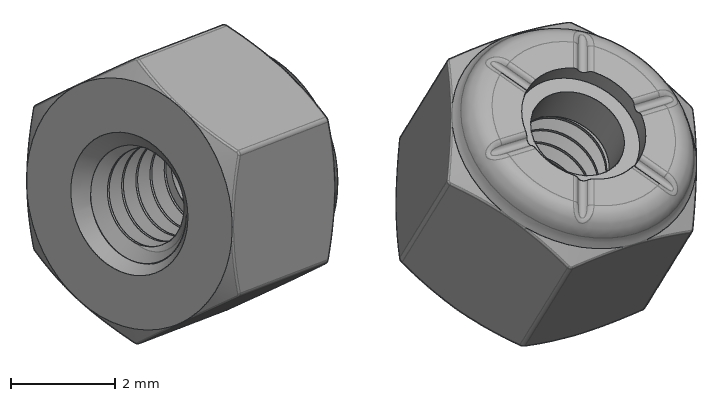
import cadquery as cq
import math


across_flats = 5.0
across_rounded_corners = 5.74
across_sharp_corners = across_flats / math.cos(math.radians(30))
corner_drop = (across_sharp_corners - across_rounded_corners) / 2
corner_radius = corner_drop / (1 / math.cos(math.radians(30)) - 1)
hex_length = 3.245
chamfer_angle = 30.0
chamfer_circle_radius = 2.49
chamfer_edge_radius = 0.05
envelope_margin = 0.06

total_length = 3.8
dome_base_y = 3.44
dome_base_radius = 2.375
end_face_radius = 1.865

pitch = 0.45
major_radius = 1.25
minor_radius = 0.96
flank_angle = 30.0
crest_width = pitch / 8
thread_phase_y = 0.14
groove_overlap = 0.025
countersink_radius = 1.42

ring_start_y = 2.555
ring_end_y = dome_base_y
ring_outer_radius = 1.95
ring_bore_radius = 0.95
lip_opening_radius = 1.26

notch_count = 6
notch_radius = 0.115
notch_depth = 0.105
notch_edge_radius = 0.145


def cylinder(radius, start_y, end_y):
    return cq.Workplane("XZ", origin=(0, start_y, 0)).circle(radius).extrude(start_y - end_y)


def revolve_about_y(profile):
    return profile.close().revolve(360, (0, 0), (0, 1))


def hexagon():
    """Hexagonal prism with corners on the Z axis, both ends chamfered by cones with rounded edges."""
    prism = (
        cq.Workplane("XZ")
        .polygon(6, across_sharp_corners)
        .extrude(-hex_length)
        .rotate((0, 0, 0), (0, 1, 0), 30)
        .edges("|Y")
        .fillet(corner_radius)
    )
    rim_radius = across_sharp_corners / 2 + envelope_margin
    chamfer_length = (rim_radius - chamfer_circle_radius) * math.tan(math.radians(chamfer_angle))
    envelope = revolve_about_y(
        cq.Workplane("XY").polyline([
            (0, 0),
            (chamfer_circle_radius, 0),
            (rim_radius, chamfer_length),
            (rim_radius, hex_length - chamfer_length),
            (chamfer_circle_radius, hex_length),
            (0, hex_length),
        ])
    )
    blank = prism.intersect(envelope)
    chamfer_edges = [edge for edge in blank.edges().vals() if edge.geomType() not in ("LINE", "CIRCLE")]
    return blank.newObject(chamfer_edges).fillet(chamfer_edge_radius)


def collar():
    """Dome tangent to the end face, then a hollow curve down to the chamfer circle of the hexagon."""
    dome_drop = total_length - dome_base_y
    dome_spread = dome_base_radius - end_face_radius
    dome_radius = (dome_spread**2 + dome_drop**2) / (2 * dome_drop)
    half_turn = math.asin(dome_spread / dome_radius) / 2
    dome_middle = (
        end_face_radius + dome_radius * math.sin(half_turn),
        total_length - dome_radius * (1 - math.cos(half_turn)),
    )
    solid_collar = revolve_about_y(
        cq.Workplane("XY")
        .moveTo(0, hex_length)
        .lineTo(0, total_length)
        .lineTo(end_face_radius, total_length)
        .threePointArc(dome_middle, (dome_base_radius, dome_base_y))
        .tangentArcPoint((chamfer_circle_radius, hex_length), relative=False)
    )
    return solid_collar.cut(cylinder(lip_opening_radius, hex_length, total_length))


def is_notch_edge(edge):
    """True for the edges where a notch meets the end face or the dome."""
    center = edge.Center()
    outside_opening = math.hypot(center.x, center.z) > lip_opening_radius + notch_depth
    near_end_face = edge.BoundingBox().ymin > total_length - 2 * notch_depth
    return outside_opening and near_end_face


def cut_notches(lip):
    """Round-bottomed radial notches through the lip, with their outer edges rounded."""
    for index in range(notch_count):
        notch = (
            cq.Workplane("XY")
            .center(0, total_length - notch_depth + notch_radius)
            .circle(notch_radius)
            .extrude(dome_base_radius)
            .rotate((0, 0, 0), (0, 1, 0), index * 360 / notch_count)
        )
        lip = lip.cut(notch)
    notch_edges = [edge for edge in lip.edges().vals() if is_notch_edge(edge)]
    return lip.newObject(notch_edges).fillet(notch_edge_radius)


def thread_groove():
    """Right-handed helical groove with 60 degree flanks, overrunning both ends of the thread."""
    start_y = thread_phase_y - 2 * pitch
    helix_length = ring_start_y + pitch - start_y
    helix = cq.Wire.makeHelix(pitch, helix_length, minor_radius)
    flank_slope = math.tan(math.radians(flank_angle))
    mouth_half_width = (pitch - crest_width) / 2
    inner_half_width = mouth_half_width + groove_overlap * flank_slope
    root_half_width = mouth_half_width - (major_radius - minor_radius) * flank_slope
    inner_radius = minor_radius - groove_overlap
    groove = (
        cq.Workplane("XZ")
        .polyline([
            (inner_radius, -inner_half_width),
            (major_radius, -root_half_width),
            (major_radius, root_half_width),
            (inner_radius, inner_half_width),
        ])
        .close()
        .sweep(cq.Workplane(obj=helix), isFrenet=True)
    )
    return groove.rotate((0, 0, 0), (1, 0, 0), -90).translate((0, start_y, 0))


def threaded_core():
    """Screw-shaped cutter for the tapped bore."""
    return cylinder(minor_radius, -pitch, total_length + pitch).union(thread_groove())


def countersink():
    return revolve_about_y(
        cq.Workplane("XY").polyline([(0, 0), (countersink_radius, 0), (0, countersink_radius)])
    )


def make_housing():
    ring_recess = cylinder(ring_outer_radius, ring_start_y, ring_end_y)
    blank = hexagon().union(cut_notches(collar()))
    return blank.cut(threaded_core()).cut(countersink()).cut(ring_recess)


def make_locking_ring():
    bore = cylinder(ring_bore_radius, ring_start_y, ring_end_y)
    return cylinder(ring_outer_radius, ring_start_y, ring_end_y).cut(bore)


housing = make_housing()
locking_ring = make_locking_ring()

result = cq.Compound.makeCompound([housing.solids().val(), locking_ring.val()])